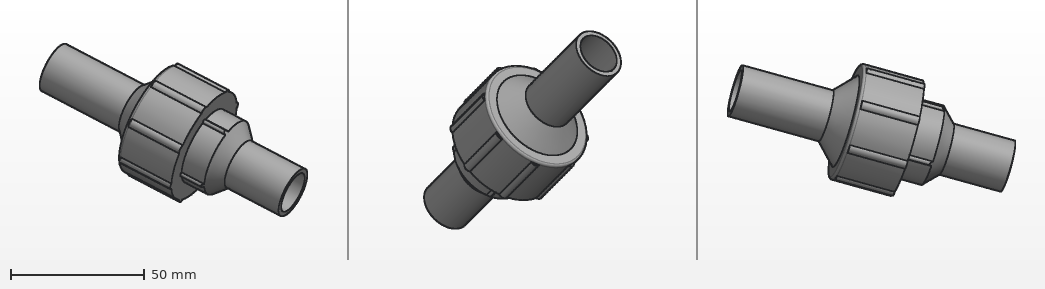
import cadquery as cq

CONE_START = 35.5
NUT_START = 43.2
NUT_RIB_START = 44.5
NUT_END = 67.2
COLLAR_END = 77.4
TOTAL_LENGTH = 107.0

BORE_RADIUS = 16.2 / 2
PIPE_RADIUS = 20.0 / 2
CONE_RADIUS = 17.9
NUT_RADIUS = 22.6
COLLAR_RADIUS = 15.5

NUT_RIB_COUNT = 8
NUT_RIB_RADIUS = 2.0
NUT_RIB_TIP = 47.0 / 2
COLLAR_RIB_COUNT = 4
COLLAR_RIB_RADIUS = 1.0

NUT_EDGE_ROUND = 1.1

TAPER_END = COLLAR_END + COLLAR_RADIUS - PIPE_RADIUS


def cylinder(radius, start, end, offset=0):
    """Cylinder along X, with its axis raised by offset in Z."""
    return cq.Workplane("YZ", origin=(start, 0, offset)).circle(radius).extrude(end - start)


def ring_of_ribs(rib, count):
    """Union of copies of one rib, evenly spaced about the X axis."""
    ribs = rib
    for index in range(1, count):
        ribs = ribs.union(rib.rotate((0, 0, 0), (1, 0, 0), index * 360 / count))
    return ribs


def pipes_and_cones():
    """Solid of revolution for both pipes, both cones and the collar."""
    profile = [
        (0, 0),
        (0, PIPE_RADIUS),
        (CONE_START, PIPE_RADIUS),
        (NUT_START, CONE_RADIUS),
        (NUT_END, COLLAR_RADIUS),
        (COLLAR_END, COLLAR_RADIUS),
        (TAPER_END, PIPE_RADIUS),
        (TOTAL_LENGTH, PIPE_RADIUS),
        (TOTAL_LENGTH, 0),
    ]
    return cq.Workplane("XY").polyline(profile).close().revolve(360, (0, 0, 0), (1, 0, 0))


def nut():
    """Union nut with a rounded front edge and rounded grip ribs."""
    body = cylinder(NUT_RADIUS, NUT_START, NUT_END).faces("<X").edges().fillet(NUT_EDGE_ROUND)
    rib = cylinder(NUT_RIB_RADIUS, NUT_RIB_START, NUT_END, NUT_RIB_TIP - NUT_RIB_RADIUS)
    return body.union(ring_of_ribs(rib, NUT_RIB_COUNT))


def collar_ribs():
    """Half-round collar ribs whose ends slope in line with the collar taper."""
    rib_tip = COLLAR_RADIUS + COLLAR_RIB_RADIUS
    rib = cylinder(COLLAR_RIB_RADIUS, NUT_END, COLLAR_END + COLLAR_RIB_RADIUS, COLLAR_RADIUS)
    slope_limit = [
        (NUT_END, 0),
        (NUT_END, rib_tip),
        (COLLAR_END - COLLAR_RIB_RADIUS, rib_tip),
        (COLLAR_END + COLLAR_RADIUS, 0),
    ]
    envelope = cq.Workplane("XY").polyline(slope_limit).close().revolve(360, (0, 0, 0), (1, 0, 0))
    return ring_of_ribs(rib.intersect(envelope), COLLAR_RIB_COUNT)


bore = cylinder(BORE_RADIUS, 0, TOTAL_LENGTH)
result = pipes_and_cones().union(nut()).union(collar_ribs()).cut(bore)